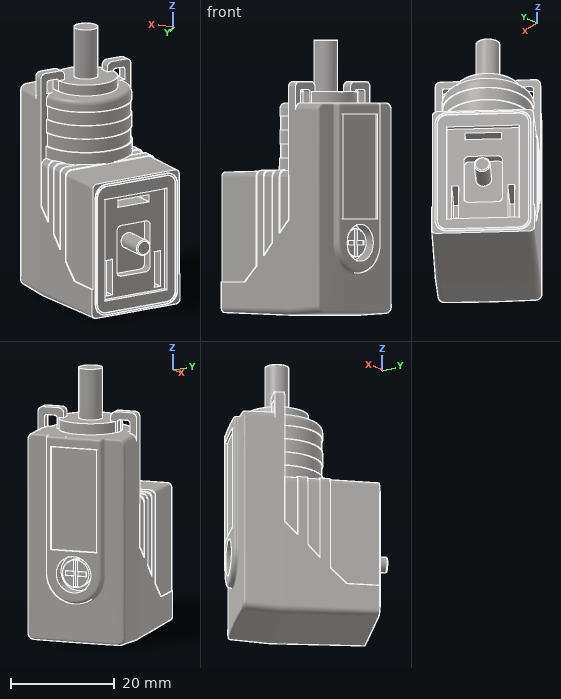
import cadquery as cq

TURN_ANGLE = -45
TOTAL_HEIGHT = 53
CLEARANCE = 0.55

SPLIT_WIDTH = 20.3
COVER_HEIGHT = 40.9
BOX_HEIGHT = 28.1
SPLIT_RADIUS = 1.3
BOX_LENGTH = 18.55
BOX_END_WIDTH = 19.8
BOX_END_BOTTOM = 0.55
BOX_END_TOP = 27.75
BOX_END_RADIUS = 0.95

COVER_DEPTH = 8.4
COVER_EDGE_DEPTH = 8.05
COVER_END_WIDTH = 20.05
COVER_END_BOTTOM = 0.4
COVER_FRONT_FILLET = 0.55

TONGUE_RISE = 1.05
TONGUE_RADIUS = 5.85
TONGUE_FOOT_FILLET = 0.35
TONGUE_TOP_FILLET = 0.65
SCREW_Z = 14.0
HOLE_RADIUS = 3.55
HOLE_DEPTH = 2.65
HEAD_RADIUS = 2.7
HEAD_DROP = 1.15
LEVEL_SLOT_LENGTH = 4.25
LEVEL_SLOT_WIDTH = 0.9
LEVEL_SLOT_DEPTH = 0.2
UPRIGHT_SLOT_LENGTH = 5.3
UPRIGHT_SLOT_WIDTH = 0.8
UPRIGHT_SLOT_DEPTH = 0.9
WINDOW_WIDTH = 9.45
WINDOW_BOTTOM = 18.6
WINDOW_TOP = 38.8
WINDOW_DEPTH = 0.55

SHAFT_DIAMETER = 4.6
COLLAR_RADIUS = 6.15
COLLAR_TOP = 43.1
BARREL_RADIUS = 8.85
BARREL_BASE = 21.2
BARREL_FLARE_RADIUS = 8.95
BARREL_TOP_FILLET = 1.15
BAND_GROOVE_DEPTH = 0.15
BAND_HEIGHT = 2.7
FIRST_BAND_TOP = 38.4
BAND_COUNT = 3

HOOK_THICKNESS = 1.9
HOOK_TOP = 45.0
HOOK_TIP_Y = 4.8
HOOK_LEG_WIDTH = 1.4
HOOK_WALL = 1.4
HOOK_BAR_HEIGHT = 1.55
HOOK_FILLET = 1.05
HOOK_SLOT_FILLET = 0.5

PANEL_SINK = 0.15
STRIPS = ((-6.9, -4.5, 11.5, 14.05), (-2.55, 0, 15.9, 18.45))
PANEL_FRONT_X = -8.9
PANEL_SLOPE_X = -12.15
PANEL_SLOPE_TOP = 9.55
PANEL_BOTTOM = 6.45

RIM_HEIGHT = 0.2
RIM_WIDTH = 0.4
RIM_OUTER_WIDTH = 18.45
RIM_BOTTOM = 0.95
RIM_TOP = 27.25
RIM_RADIUS = 2.4
FACE_WIDTH = 14.0
FACE_BOTTOM = 3.7
FACE_TOP = 24.15
FACE_SINK = 0.95
POCKET_WIDTH = 7.4
POCKET_BOTTOM = 7.8
POCKET_TOP = 18
POCKET_DEPTH = 2.05
POCKET_RADIUS = 0.95
CONTACT_DEPTH = 7.4
SIDE_CONTACT_Y = 5.4
SIDE_CONTACT_WIDTH = 1.3
SIDE_CONTACT_BOTTOM = 4.35
SIDE_CONTACT_TOP = 11.5
EARTH_CONTACT_WIDTH = 7.05
EARTH_CONTACT_BOTTOM = 21.8
EARTH_CONTACT_TOP = 23.2
PIN_RADIUS = 1.55
PIN_Z = 14.05
PIN_END_X = -21.4
PIN_CHAMFER = 0.2


def box_between(x0, x1, y0, y1, z0, z1):
    """Plain block given by its limits."""
    return cq.Workplane("XY").box(x1 - x0, y1 - y0, z1 - z0, centered=False).translate((x0, y0, z0))


def cylinder(radius, bottom, top):
    """Upright cylinder on the shaft axis."""
    return cq.Workplane("XY").workplane(offset=bottom).circle(radius).extrude(top - bottom)


def section(x, width, bottom, top, radius):
    """Rounded rectangle across the working X axis."""
    outline = cq.Sketch().rect(width, top - bottom).vertices().fillet(radius)
    return outline.moved(cq.Location(cq.Vector(0, (bottom + top) / 2, x)))


def tapered_block(first, second):
    """Loft between two sections across the working X axis."""
    return cq.Workplane("YZ").placeSketch(first, second).loft()


def connector_box(inset):
    """Tapered connector box, shrunk by an inset on its top, bottom and sides."""
    end = section(-BOX_LENGTH, BOX_END_WIDTH - 2 * inset, BOX_END_BOTTOM + inset,
                  BOX_END_TOP - inset, BOX_END_RADIUS)
    split = section(0, SPLIT_WIDTH - 2 * inset, inset, BOX_HEIGHT - inset, SPLIT_RADIUS)
    return tapered_block(end, split)


def sunk_panels():
    """Side profiles of the panels, as blocks across the whole width."""
    above = BOX_HEIGHT + CLEARANCE
    behind = -BOX_LENGTH - CLEARANCE
    outlines = [[(behind, above), (behind, PANEL_BOTTOM), (PANEL_SLOPE_X, PANEL_BOTTOM),
                 (PANEL_FRONT_X, PANEL_SLOPE_TOP), (PANEL_FRONT_X, above)]]
    for rear, front, rear_foot, front_foot in STRIPS:
        outlines.append([(rear, above), (rear, rear_foot), (front, front_foot), (front, above)])
    panels = cq.Workplane("XZ")
    for outline in outlines:
        panels = panels.union(cq.Workplane("XZ").polyline(outline).close().extrude(SPLIT_WIDTH, both=True))
    return panels


def bowed_slab(rise):
    """Everything from the split plane to the bowed cover front, moved forward by a rise."""
    half = SPLIT_WIDTH / 2
    return (
        cq.Workplane("XY")
        .moveTo(0, -half)
        .lineTo(COVER_EDGE_DEPTH + rise, -half)
        .threePointArc((COVER_DEPTH + rise, 0), (COVER_EDGE_DEPTH + rise, half))
        .lineTo(0, half)
        .close()
        .extrude(COVER_HEIGHT)
    )


def tongue():
    """Tongue with a round lower end, running off the top of the cover."""
    outline = (
        cq.Workplane("YZ")
        .moveTo(-TONGUE_RADIUS, COVER_HEIGHT)
        .lineTo(-TONGUE_RADIUS, SCREW_Z)
        .threePointArc((0, SCREW_Z - TONGUE_RADIUS), (TONGUE_RADIUS, SCREW_Z))
        .lineTo(TONGUE_RADIUS, COVER_HEIGHT)
        .close()
        .extrude(COVER_DEPTH + 2 * TONGUE_RISE)
    )
    return outline.intersect(bowed_slab(TONGUE_RISE))


def cover():
    """Tapered cover half with its tongue.

    The fillet started at the lower edge runs on around the whole front outline.
    """
    split = section(0, SPLIT_WIDTH, 0, COVER_HEIGHT, SPLIT_RADIUS)
    end = section(COVER_DEPTH, COVER_END_WIDTH, COVER_END_BOTTOM, COVER_HEIGHT, SPLIT_RADIUS)
    block = tapered_block(split, end).intersect(bowed_slab(0))
    block = block.union(tongue())
    reach = TONGUE_RADIUS + CLEARANCE
    foot_edges = cq.selectors.BoxSelector((COVER_EDGE_DEPTH, -reach, COVER_FRONT_FILLET),
                                          (COVER_DEPTH, reach, COVER_HEIGHT - CLEARANCE))
    lower_edge = cq.selectors.BoxSelector((COVER_EDGE_DEPTH, -reach, 0),
                                          (COVER_DEPTH, reach, COVER_FRONT_FILLET))
    block = block.edges(foot_edges).fillet(TONGUE_FOOT_FILLET)
    block = block.edges(lower_edge).fillet(COVER_FRONT_FILLET)
    return block.faces(">X").edges().fillet(TONGUE_TOP_FILLET)


def cover_recesses():
    """Label window and the screw hole, with the cross-slotted screw head left standing in it."""
    front = COVER_DEPTH + TONGUE_RISE
    head_face = front - HEAD_DROP
    window = box_between(front - WINDOW_DEPTH, front + CLEARANCE, -WINDOW_WIDTH / 2, WINDOW_WIDTH / 2,
                         WINDOW_BOTTOM, WINDOW_TOP)
    hole = cq.Workplane("YZ", origin=(front - HOLE_DEPTH, 0, SCREW_Z)).circle(HOLE_RADIUS).extrude(HOLE_DEPTH)
    head = cq.Workplane("YZ", origin=(0, 0, SCREW_Z)).circle(HEAD_RADIUS).extrude(head_face)
    slots = (
        (LEVEL_SLOT_LENGTH, LEVEL_SLOT_WIDTH, LEVEL_SLOT_DEPTH),
        (UPRIGHT_SLOT_WIDTH, UPRIGHT_SLOT_LENGTH, UPRIGHT_SLOT_DEPTH),
    )
    for width, height, depth in slots:
        floor = cq.Workplane("YZ", origin=(head_face - depth, 0, SCREW_Z))
        head = head.cut(floor.rect(width, height).extrude(depth))
    return window.union(hole.cut(head))


def barrel():
    """Motor barrel with alternating plain and slightly recessed bands, collar and shaft."""
    body = cylinder(BARREL_RADIUS, BARREL_BASE, COVER_HEIGHT)
    body = body.faces(">Z").edges().fillet(BARREL_TOP_FILLET)
    for band in range(0, BAND_COUNT, 2):
        top = FIRST_BAND_TOP - band * BAND_HEIGHT
        bottom = top - BAND_HEIGHT
        outside = cylinder(BARREL_RADIUS + CLEARANCE, bottom, top)
        body = body.cut(outside.cut(cylinder(BARREL_RADIUS - BAND_GROOVE_DEPTH, bottom, top)))
    flare = cylinder(BARREL_FLARE_RADIUS, BARREL_BASE, FIRST_BAND_TOP - BAND_COUNT * BAND_HEIGHT)
    collar = cylinder(COLLAR_RADIUS, BARREL_BASE, COLLAR_TOP)
    shaft = cylinder(SHAFT_DIAMETER / 2, BARREL_BASE, TOTAL_HEIGHT)
    return body.union(flare).union(collar).union(shaft)


def hook():
    """Hook on the +Y side: wall, top bar and a leg that reaches down to the cover."""
    outer = SPLIT_WIDTH / 2
    block = box_between(0, HOOK_THICKNESS, HOOK_TIP_Y, outer, COVER_HEIGHT - SPLIT_RADIUS, HOOK_TOP)
    block = block.edges("|X and >Z").fillet(HOOK_FILLET)
    slot = box_between(0, HOOK_THICKNESS, HOOK_TIP_Y + HOOK_LEG_WIDTH, outer - HOOK_WALL,
                       COVER_HEIGHT, HOOK_TOP - HOOK_BAR_HEIGHT)
    slot = slot.edges("|X and >Z").fillet(HOOK_SLOT_FILLET)
    plan = [(0, 0), (0, outer), (COVER_DEPTH, COVER_END_WIDTH / 2), (COVER_DEPTH, 0)]
    cover_taper = cq.Workplane("XY").polyline(plan).close().extrude(HOOK_TOP)
    return block.cut(slot).intersect(cover_taper)


def connector_rim():
    """Thin raised rim around the connector face, rooted in the box by its own height."""
    outer = section(0, RIM_OUTER_WIDTH, RIM_BOTTOM, RIM_TOP, RIM_RADIUS)
    inner = section(0, RIM_OUTER_WIDTH - 2 * RIM_WIDTH, RIM_BOTTOM + RIM_WIDTH, RIM_TOP - RIM_WIDTH,
                    RIM_RADIUS - RIM_WIDTH)
    start = cq.Workplane("YZ", origin=(-BOX_LENGTH - RIM_HEIGHT, 0, 0))
    length = 2 * RIM_HEIGHT
    return start.placeSketch(outer).extrude(length).cut(start.placeSketch(inner).extrude(length))


def connector_recesses():
    """Sunk face, central pocket and the three contact slots."""
    floor = -BOX_LENGTH + FACE_SINK
    recesses = box_between(-BOX_LENGTH, floor, -FACE_WIDTH / 2, FACE_WIDTH / 2, FACE_BOTTOM, FACE_TOP)
    pocket = box_between(floor, floor + POCKET_DEPTH, -POCKET_WIDTH / 2, POCKET_WIDTH / 2,
                         POCKET_BOTTOM, POCKET_TOP)
    recesses = recesses.union(pocket.edges("|X").fillet(POCKET_RADIUS))
    contacts = [(0, EARTH_CONTACT_WIDTH, EARTH_CONTACT_BOTTOM, EARTH_CONTACT_TOP)]
    for side in (-1, 1):
        contacts.append((side * SIDE_CONTACT_Y, SIDE_CONTACT_WIDTH, SIDE_CONTACT_BOTTOM, SIDE_CONTACT_TOP))
    for y, width, bottom, top in contacts:
        recesses = recesses.union(
            box_between(floor, floor + CONTACT_DEPTH, y - width / 2, y + width / 2, bottom, top)
        )
    return recesses


def connector_pin():
    """Round pin standing on the pocket floor."""
    length = -BOX_LENGTH + FACE_SINK + POCKET_DEPTH - PIN_END_X
    pin = cq.Workplane("YZ", origin=(PIN_END_X, 0, PIN_Z)).circle(PIN_RADIUS).extrude(length)
    return pin.faces("<X").chamfer(PIN_CHAMFER)


sink_volume = sunk_panels().cut(connector_box(PANEL_SINK))
housing = connector_box(0).cut(sink_volume).union(cover()).union(barrel())
housing = housing.union(hook()).union(hook().mirror("XZ"))
housing = housing.cut(cover_recesses())
housing = housing.union(connector_rim()).cut(connector_recesses()).union(connector_pin())
result = housing.rotate((0, 0, 0), (0, 0, 1), TURN_ANGLE)